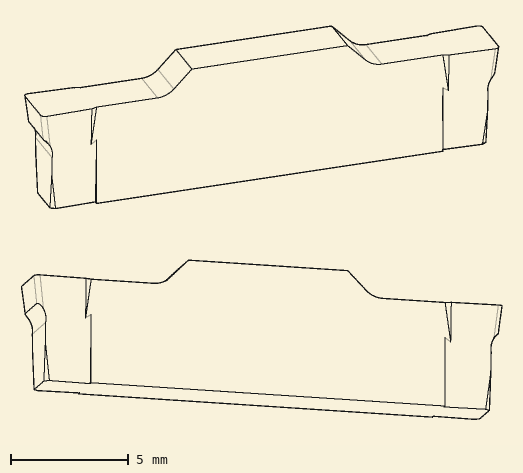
import cadquery as cq
import math

length = 20.6
height = 5.65
body_width = 2.05

shelf_height = 4.53
rib_half_length = 3.5
rib_slope_angle = 45.0
rib_root_radius = 1.03

head_width = 2.4
neck_width = 2.25
neck_depth = 2.27
head_depth = 2.51
flank_angle = 3.1
corner_radius = 0.2

edge_land_setback = 0.15
edge_land_drop = 1.2
relief_setback = 0.5
relief_drop = 2.04
relief_bulge_setback = 0.4
relief_bulge_drop = 1.46

bevel_height = 1.65
bevel_depth = 0.2
bevel_width = 0.15

half_length = length / 2
body_half_length = half_length - head_depth
plan_slope = (head_width - neck_width) / 2 / neck_depth
flank_inset = shelf_height * math.tan(math.radians(flank_angle))


def make_body():
    """Straight middle bar with the rib blended into its shelves."""
    rise = height - shelf_height
    rib_foot = rib_half_length + rise / math.tan(math.radians(rib_slope_angle))
    outline = [
        (-body_half_length, 0),
        (body_half_length, 0),
        (body_half_length, shelf_height),
        (rib_foot, shelf_height),
        (rib_half_length, height),
        (-rib_half_length, height),
        (-rib_foot, shelf_height),
        (-body_half_length, shelf_height),
    ]
    bar = cq.Workplane("YZ").polyline(outline).close().extrude(body_width / 2, both=True)
    for foot in (-rib_foot, rib_foot):
        root_edge = cq.selectors.NearestToPointSelector((0, foot, shelf_height))
        bar = bar.edges("|X").edges(root_edge).fillet(rib_root_radius)
    return bar


def tapered_head(right_side):
    """Block narrowing downwards; right_side lists its +X plan points at shelf height."""
    left_side = [(-x, y) for x, y in reversed(right_side)]
    top_plan = right_side + left_side
    bottom_plan = [(x - math.copysign(flank_inset, x), y) for x, y in top_plan]
    return (
        cq.Workplane("XY")
        .polyline(bottom_plan)
        .close()
        .workplane(offset=shelf_height)
        .polyline(top_plan)
        .close()
        .loft(ruled=True, combine=True)
    )


def end_profile():
    """Side section of the head, with the relieved end face."""
    land_end = (-half_length + edge_land_setback, shelf_height - edge_land_drop)
    bulge = (-half_length + relief_bulge_setback, shelf_height - relief_bulge_drop)
    relief_start = (-half_length + relief_setback, shelf_height - relief_drop)
    return (
        cq.Workplane("YZ")
        .moveTo(-body_half_length, shelf_height)
        .lineTo(-half_length, shelf_height)
        .lineTo(*land_end)
        .threePointArc(bulge, relief_start)
        .lineTo(relief_start[0], 0)
        .lineTo(-body_half_length, 0)
        .close()
        .extrude(head_width, both=True)
    )


def corner_bevel(side):
    """Tetrahedral cutter for one lower corner; side is +1 or -1 in X."""
    corner_x = head_width / 2 - flank_inset - relief_setback * plan_slope
    face_y = -half_length + relief_setback
    lean = math.tan(math.radians(flank_angle))
    apex = cq.Vector(side * (corner_x + bevel_height * lean), face_y, bevel_height)
    corner = cq.Vector(side * corner_x, face_y, 0)
    on_face = cq.Vector(side * (corner_x - bevel_width), face_y, 0)
    flank_shift = bevel_depth * plan_slope
    on_flank = cq.Vector(side * (corner_x - flank_shift), face_y + bevel_depth, 0)
    triangles = [
        (corner, on_face, on_flank),
        (corner, on_face, apex),
        (corner, on_flank, apex),
        (on_face, on_flank, apex),
    ]
    faces = [cq.Face.makeFromWires(cq.Wire.makePolygon(points, close=True)) for points in triangles]
    return cq.Solid.makeSolid(cq.Shell.makeShell(faces))


def make_head():
    """Tapered cutting head at the -Y end."""
    front = (head_width / 2, -half_length)
    neck = (neck_width / 2, -half_length + neck_depth)
    shoulder = (body_width / 2, -body_half_length)
    flank_end = (head_width / 2 - plan_slope * head_depth, -body_half_length)

    straight_head = tapered_head([front, flank_end])
    necked_head = tapered_head([front, neck, shoulder])
    body_extension = (
        cq.Workplane("XY")
        .box(body_width, head_depth, shelf_height, centered=(True, False, False))
        .translate((0, -half_length, 0))
    )
    head = straight_head.intersect(necked_head.union(body_extension)).intersect(end_profile())
    for side in (-1, 1):
        upper_corner = cq.selectors.NearestToPointSelector(
            (
                side * head_width / 2,
                -half_length + edge_land_setback / 2,
                shelf_height - edge_land_drop / 2,
            )
        )
        head = head.edges(upper_corner).fillet(corner_radius)
    for side in (-1, 1):
        head = head.cut(cq.Workplane(obj=corner_bevel(side)))
    return head


head = make_head()
result = make_body().union(head).union(head.mirror("XZ"))